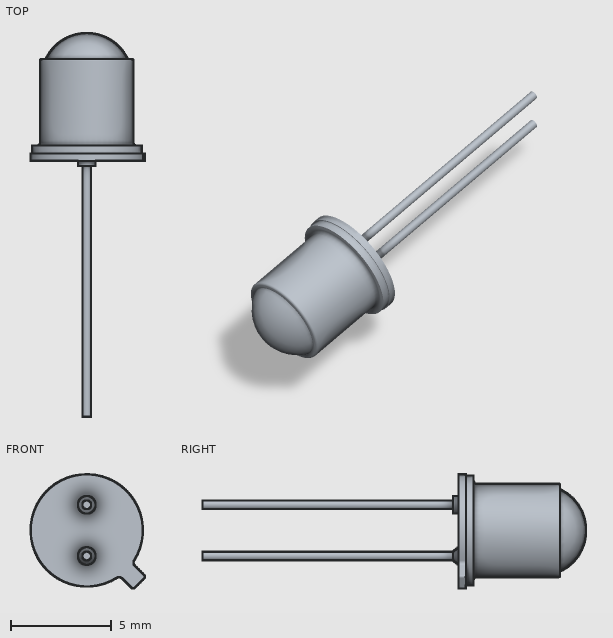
import cadquery as cq
import math

body_height = 6.35
lead_length = 12.7

flange_radius = 2.79
rim_thickness = 0.37
step_radius = 2.73
flange_height = 0.76
tab_width = 0.9
tab_corner_extent = 2.89
tab_fillet = 0.2
tab_corner_radius = 0.1
tab_turn = 45

can_radius = 2.325
can_top = 5.05
can_top_fillet = 0.1
can_foot_fillet = 0.12

lens_radius = 2.25
lens_center = body_height - lens_radius

lead_pitch = 2.54
lead_radius = 0.22
collar_radius = 0.44
collar_height = 0.27


def disc(radius, start, end, z=0):
    """Cylinder along Y between two Y positions, centred at X = 0 and the given Z."""
    return cq.Workplane("XZ", origin=(0, start, z)).circle(radius).extrude(start - end)


def make_rim():
    """Lower flange disc with the tab blended into its edge."""
    sharp_extent = tab_corner_extent + tab_corner_radius * (math.sqrt(2) - 1)
    tab_reach = sharp_extent * math.sqrt(2) - tab_width / 2
    tab = (
        cq.Workplane("XY")
        .box(tab_reach, rim_thickness, tab_width, centered=(False, False, True))
        .edges("|Y and >X")
        .fillet(tab_corner_radius)
    )
    root_x = math.sqrt(flange_radius**2 - (tab_width / 2) ** 2)
    root_margin = 0.05
    root_edges = cq.selectors.BoxSelector(
        (root_x - root_margin, -root_margin, -tab_width),
        (root_x + root_margin, rim_thickness + root_margin, tab_width),
    )
    rim = disc(flange_radius, 0, rim_thickness).union(tab)
    rim = rim.edges("|Y").edges(root_edges).fillet(tab_fillet)
    return rim.rotate((0, 0, 0), (0, 1, 0), tab_turn)


def make_can():
    """Upper flange step and can, with a blend at the foot and a rounded top edge."""
    profile = (
        cq.Workplane("XY")
        .lineTo(step_radius, 0)
        .lineTo(step_radius, flange_height)
        .lineTo(can_radius + can_foot_fillet, flange_height)
        .radiusArc((can_radius, flange_height + can_foot_fillet), can_foot_fillet)
        .lineTo(can_radius, can_top - can_top_fillet)
        .radiusArc((can_radius - can_top_fillet, can_top), -can_top_fillet)
        .lineTo(0, can_top)
        .close()
    )
    return profile.revolve(360, (0, 0, 0), (0, 1, 0))


def make_lens():
    """Spherical lens cap, seated inside the can."""
    sphere = cq.Workplane("XY").sphere(lens_radius).translate((0, lens_center, 0))
    return sphere.intersect(disc(lens_radius, lens_center, body_height))


def make_collar(z):
    """Straight insulating collar around a lead."""
    return disc(collar_radius, 0, -collar_height, z)


def make_weld(z):
    """Conical weld bead tapering from the flange to a lead."""
    profile = (
        cq.Workplane("XY", origin=(0, 0, z))
        .lineTo(collar_radius, 0)
        .lineTo(lead_radius, -collar_height)
        .lineTo(0, -collar_height)
        .close()
    )
    return profile.revolve(360, (0, 0, 0), (0, 1, 0))


result = make_rim().union(make_can()).union(make_lens())
for lead_z in (lead_pitch / 2, -lead_pitch / 2):
    result = result.union(disc(lead_radius, 0, -lead_length, lead_z))
result = result.union(make_collar(lead_pitch / 2))
result = result.union(make_weld(-lead_pitch / 2))